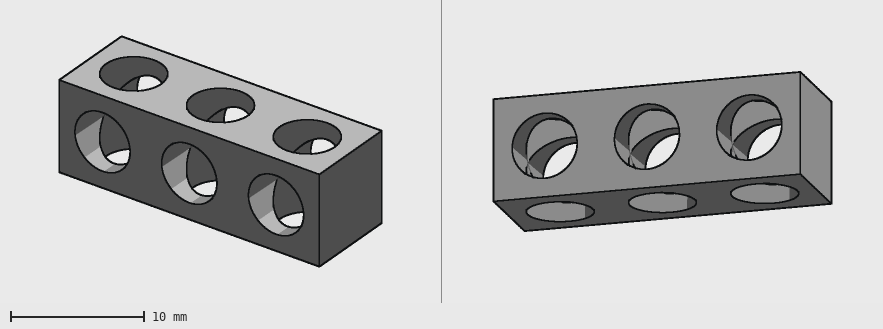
import cadquery as cq

length = 24.0
cell_count = 3
pitch = length / cell_count
hole_diameter = 5.1


def hole_row(workplane):
    """Cylinders at the cell centres, long enough to pass through the bar."""
    return (
        cq.Workplane(workplane)
        .rarray(pitch, pitch, cell_count, 1)
        .circle(hole_diameter / 2)
        .extrude(pitch, both=True)
    )


bar = cq.Workplane("XY").box(length, pitch, pitch)

result = bar
for workplane in ("XY", "XZ"):
    result = result.cut(hole_row(workplane))